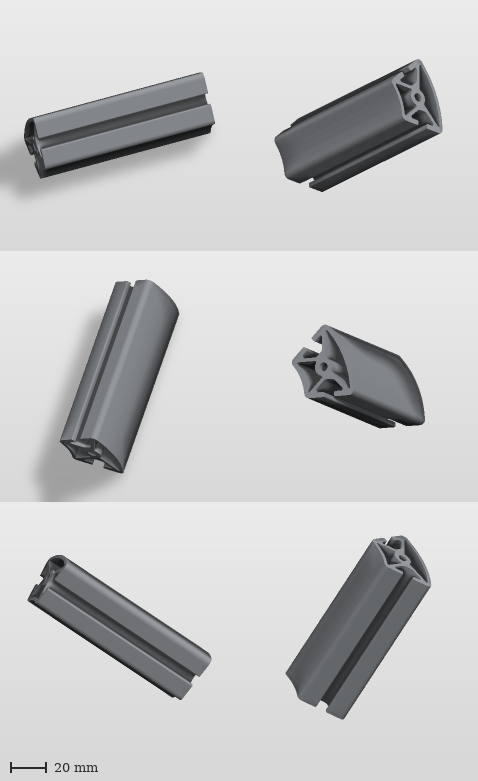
import cadquery as cq
import math

LENGTH = 100.0
BEND_ANGLE = 45.0
HALF_ANGLE = BEND_ANGLE / 2
INNER_RADIUS = 30.0
OUTER_RADIUS = 60.0
MID_RADIUS = (INNER_RADIUS + OUTER_RADIUS) / 2
CORNER_RADIUS = 3.0

CURVED_WALL = 2.0
WEB_THICKNESS = 2.0
BOSS_RADIUS = 5.2
BORE_DIAMETER = 5.0

SLOT_OPENING = 6.3
LIP_THICKNESS = 3.0
SLOT_DEPTH = 10.0
SLOT_FLOOR_WIDTH = 5.2
LIP_EDGE_RADIUS = 0.7
SLOT_CORNER_RADIUS = 1.0
SLOT_FLOOR_RADIUS = 3.0
CAVITY_FILLET = 0.8

FLANK_REACH = SLOT_FLOOR_WIDTH / 2 + SLOT_DEPTH
WEB_REACH = FLANK_REACH + WEB_THICKNESS * math.sqrt(2)


def polar(radius, angle):
    """Point at a radius from the bend axis and an angle above the bisector."""
    a = math.radians(angle)
    return -radius * math.cos(a), radius * math.sin(a)


def sector(inner, outer):
    """Ring sector between the two faces."""
    return (
        cq.Workplane("XZ")
        .moveTo(*polar(inner, -HALF_ANGLE))
        .lineTo(*polar(outer, -HALF_ANGLE))
        .threePointArc(polar(outer, 0), polar(outer, HALF_ANGLE))
        .lineTo(*polar(inner, HALF_ANGLE))
        .threePointArc(polar(inner, 0), polar(inner, -HALF_ANGLE))
        .close()
        .extrude(LENGTH)
    )


def lower_slot():
    """T-slot in the lower face: a flared chamber with a narrower opening."""
    floor_half = SLOT_FLOOR_WIDTH / 2
    chamber_half = FLANK_REACH - LIP_THICKNESS
    chamber = (
        cq.Workplane("XZ")
        .polyline([
            (-MID_RADIUS - chamber_half, LIP_THICKNESS),
            (-MID_RADIUS + chamber_half, LIP_THICKNESS),
            (-MID_RADIUS + floor_half, SLOT_DEPTH),
            (-MID_RADIUS - floor_half, SLOT_DEPTH),
        ])
        .close()
        .extrude(LENGTH)
    )
    chamber = chamber.edges("|Y").edges("<Z").fillet(SLOT_CORNER_RADIUS)
    chamber = chamber.edges("|Y").edges(">Z").fillet(SLOT_FLOOR_RADIUS)
    opening = (
        cq.Workplane("XZ")
        .center(-MID_RADIUS, LIP_THICKNESS / 2)
        .rect(SLOT_OPENING, LIP_THICKNESS)
        .extrude(LENGTH)
    )
    return chamber.union(opening).rotate((0, 0, 0), (0, 1, 0), -HALF_ANGLE)


def cavity(inner, outer, apex_radius, spread, direction):
    """Hollow between two webs that spread from an apex on the bisector, clear of the boss."""
    reach = OUTER_RADIUS
    run = direction * reach * math.cos(math.radians(spread))
    rise = reach * math.sin(math.radians(spread))
    wedge = (
        cq.Workplane("XZ")
        .polyline([
            (-apex_radius, 0),
            (-apex_radius + run, -rise),
            (-apex_radius + run, rise),
        ])
        .close()
        .extrude(LENGTH)
    )
    boss = cq.Workplane("XZ").center(-MID_RADIUS, 0).circle(BOSS_RADIUS).extrude(LENGTH)
    return sector(inner, outer).intersect(wedge).cut(boss).edges("|Y").fillet(CAVITY_FILLET)


def round_lips(body):
    """Round the four opening corners of both slots."""
    half = SLOT_OPENING / 2
    for side in (-1, 1):
        for along in (MID_RADIUS - half, MID_RADIUS + half):
            for height in (0, LIP_THICKNESS):
                radius = math.hypot(along, height)
                angle = HALF_ANGLE - math.degrees(math.atan2(height, along))
                x, z = polar(radius, side * angle)
                edge = cq.selectors.NearestToPointSelector((x, -LENGTH / 2, z))
                body = body.edges("|Y").edges(edge).fillet(LIP_EDGE_RADIUS)
    return body


cos_half = math.cos(math.radians(HALF_ANGLE))
sin_half = math.sin(math.radians(HALF_ANGLE))
outer_apex = (MID_RADIUS + WEB_REACH) / (cos_half + sin_half)
inner_apex = (MID_RADIUS - WEB_REACH) / (cos_half - sin_half)

body = sector(INNER_RADIUS, OUTER_RADIUS).edges("|Y").fillet(CORNER_RADIUS)

slot = lower_slot()
body = body.cut(slot).cut(slot.mirror("XY"))
body = round_lips(body)

outer_cavity = cavity(MID_RADIUS, OUTER_RADIUS - CURVED_WALL, outer_apex, 90 - HALF_ANGLE, -1)
inner_cavity = cavity(INNER_RADIUS + CURVED_WALL, MID_RADIUS, inner_apex, HALF_ANGLE, 1)
body = body.cut(outer_cavity).cut(inner_cavity)

bore = cq.Workplane("XZ").center(-MID_RADIUS, 0).circle(BORE_DIAMETER / 2).extrude(LENGTH)
body = body.cut(bore)

result = body.rotate((0, 0, 0), (0, 1, 0), HALF_ANGLE)